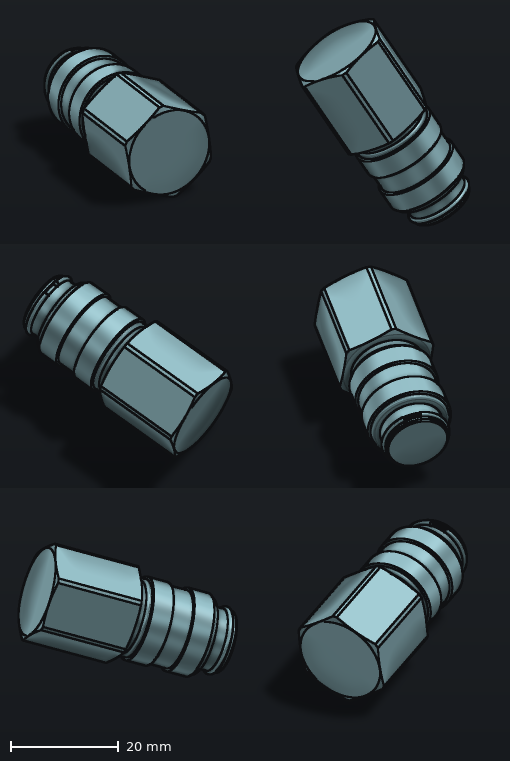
import cadquery as cq
import math

TOTAL_LENGTH = 38.15
SLEEVE_START = 4.55
SLEEVE_END = 19.05
HEX_START = 20.6

SPIGOT_DIA = 12.0
SPIGOT_CHAMFER = 0.3
GROOVE_START = 0.95
GROOVE_WIDTH = 1.05
GROOVE_DIA = 10.87

SLEEVE_DIA = 15.1
BAND_DIA = 16.15
BAND_BASE_WIDTH = 4.3
BAND_INSET = 0.95
BAND_FLANK_ANGLE = 15.0
NECK_DIA = 14.0

HEX_ACROSS_FLATS = 17.0
HEX_CORNER_DIA = 19.15
HEX_TURN = 8.5
HEX_FACE_DIA = 16.85
FRONT_CHAMFER_LENGTH = 0.3
REAR_CHAMFER_LENGTH = 0.4

RING_OUTER_DIA = 13.12
RING_WIDTH = 1.0
RING_GAP_ANGLE = 29.6
RING_GAP_CENTRE = 6.1

SPIGOT_RADIUS = SPIGOT_DIA / 2
GROOVE_RADIUS = GROOVE_DIA / 2
GROOVE_END = GROOVE_START + GROOVE_WIDTH
SLEEVE_RADIUS = SLEEVE_DIA / 2
NECK_RADIUS = NECK_DIA / 2
SLEEVE_ROUND = SLEEVE_RADIUS - NECK_RADIUS


def revolve_about_x(profile, angle=360.0):
    """Revolve a closed XY profile (y = radius) about the X axis."""
    return profile.close().revolve(angle, (0, 0, 0), (1, 0, 0))


def make_turned_front():
    """Spigot with its groove, the round-ended sleeve, and the neck behind it."""
    rounding = SLEEVE_ROUND * math.sqrt(0.5)
    front_arc_x = SLEEVE_START + SLEEVE_ROUND
    rear_arc_x = SLEEVE_END - SLEEVE_ROUND
    arc_mid_radius = NECK_RADIUS + rounding
    profile = (
        cq.Workplane("XY")
        .moveTo(0, 0)
        .lineTo(0, SPIGOT_RADIUS - SPIGOT_CHAMFER)
        .lineTo(SPIGOT_CHAMFER, SPIGOT_RADIUS)
        .lineTo(GROOVE_START, SPIGOT_RADIUS)
        .lineTo(GROOVE_START, GROOVE_RADIUS)
        .lineTo(GROOVE_END, GROOVE_RADIUS)
        .lineTo(GROOVE_END, SPIGOT_RADIUS)
        .lineTo(SLEEVE_START, SPIGOT_RADIUS)
        .lineTo(SLEEVE_START, NECK_RADIUS)
        .threePointArc((front_arc_x - rounding, arc_mid_radius), (front_arc_x, SLEEVE_RADIUS))
        .lineTo(rear_arc_x, SLEEVE_RADIUS)
        .threePointArc((rear_arc_x + rounding, arc_mid_radius), (SLEEVE_END, NECK_RADIUS))
        .lineTo(HEX_START, NECK_RADIUS)
        .lineTo(HEX_START, 0)
    )
    return revolve_about_x(profile)


def make_band(start):
    """Raised band with slightly sloping flanks, its base starting at X = start."""
    band_radius = BAND_DIA / 2
    flank = (band_radius - SLEEVE_RADIUS) * math.tan(math.radians(BAND_FLANK_ANGLE))
    end = start + BAND_BASE_WIDTH
    profile = (
        cq.Workplane("XY")
        .moveTo(start, 0)
        .lineTo(start, SLEEVE_RADIUS)
        .lineTo(start + flank, band_radius)
        .lineTo(end - flank, band_radius)
        .lineTo(end, SLEEVE_RADIUS)
        .lineTo(end, 0)
    )
    return revolve_about_x(profile)


def make_hexagon():
    """Hexagon whose corners are turned round and chamfered conically at both ends."""
    face_radius = HEX_FACE_DIA / 2
    corner_radius = HEX_CORNER_DIA / 2
    prism = (
        cq.Workplane("YZ", origin=(HEX_START, 0, 0))
        .polygon(6, HEX_ACROSS_FLATS, circumscribed=True)
        .extrude(TOTAL_LENGTH - HEX_START)
        .rotate((0, 0, 0), (1, 0, 0), HEX_TURN)
    )
    envelope = (
        cq.Workplane("XY")
        .moveTo(HEX_START, 0)
        .lineTo(HEX_START, face_radius)
        .lineTo(HEX_START + FRONT_CHAMFER_LENGTH, corner_radius)
        .lineTo(TOTAL_LENGTH - REAR_CHAMFER_LENGTH, corner_radius)
        .lineTo(TOTAL_LENGTH, face_radius)
        .lineTo(TOTAL_LENGTH, 0)
    )
    return prism.intersect(revolve_about_x(envelope))


def make_coupling_body():
    """Complete coupling body: spigot, banded sleeve, neck and hexagon in one solid."""
    body = make_turned_front()
    first_band_start = SLEEVE_START + BAND_INSET
    second_band_start = SLEEVE_END - BAND_INSET - BAND_BASE_WIDTH
    for start in (first_band_start, second_band_start):
        body = body.union(make_band(start))
    return body.union(make_hexagon())


def make_snap_ring():
    """Open ring seated against the front wall of the groove: flat sides and bore, half-round outside."""
    outer_radius = RING_OUTER_DIA / 2
    shoulder_radius = outer_radius - RING_WIDTH / 2
    ring_end = GROOVE_START + RING_WIDTH
    profile = (
        cq.Workplane("XY")
        .moveTo(GROOVE_START, GROOVE_RADIUS)
        .lineTo(GROOVE_START, shoulder_radius)
        .threePointArc((GROOVE_START + RING_WIDTH / 2, outer_radius), (ring_end, shoulder_radius))
        .lineTo(ring_end, GROOVE_RADIUS)
    )
    ring = revolve_about_x(profile, 360.0 - RING_GAP_ANGLE)
    gap_edge = 90.0 - RING_GAP_CENTRE + RING_GAP_ANGLE / 2
    return ring.rotate((0, 0, 0), (1, 0, 0), gap_edge)


coupling_body = make_coupling_body()
snap_ring = make_snap_ring()

result = cq.Compound.makeCompound([coupling_body.val(), snap_ring.val()])